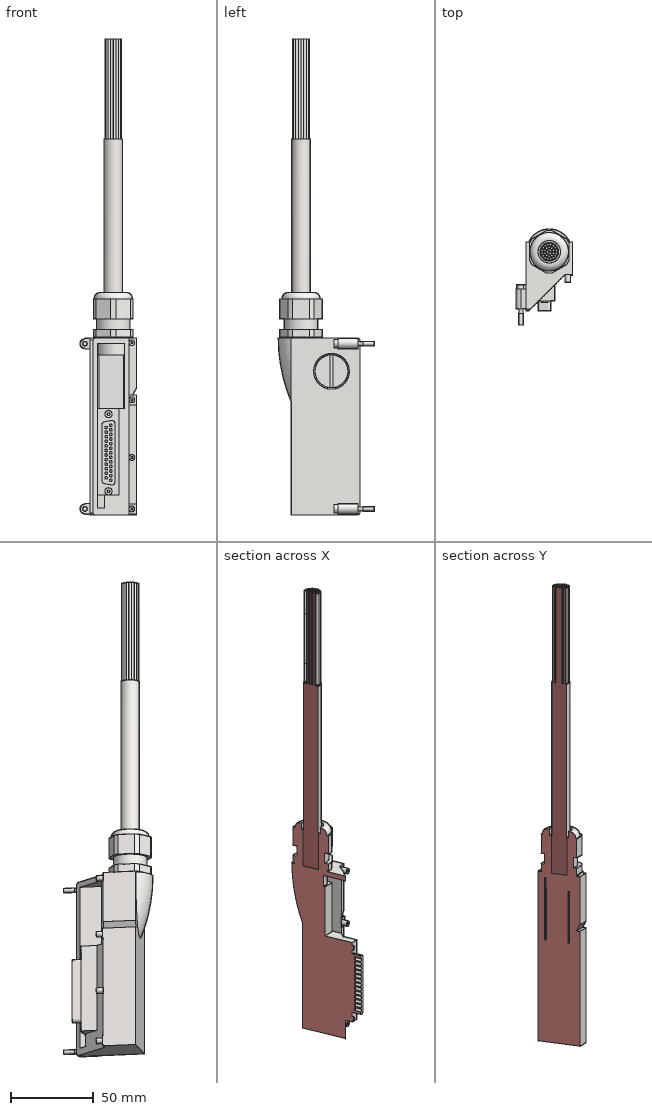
import cadquery as cq
import math


HALF_WIDTH = 14.0
BACK_Y = 6.0
FRONT_Y = -35.8
FRONT_EDGE_WIDTH = 1.7
FRONT_EDGE_CHAMFER = 1.2
FLANGE_WIDTH = 4.5
HOUSING_HEIGHT = 107.4
SLOPE_LEFT_X = -HALF_WIDTH + FRONT_EDGE_WIDTH
SLOPE_RIGHT_X = HALF_WIDTH - FLANGE_WIDTH
FLANGE_Y = FRONT_Y + (SLOPE_RIGHT_X - SLOPE_LEFT_X)

BULGE_RADIUS = 13.9
BULGE_BEND = 98.0
BULGE_DROP = 43.3

WINDOW_LEFT_X = -9.5
WINDOW_RIGHT_X = 7.0
WINDOW_BOTTOM = 64.5
WINDOW_TOP = 104.0
WINDOW_FLOOR_Y = -1.5
PANEL_MARGIN = 1.0
PANEL_TOP = 97.0
PANEL_FRONT_Y = -10.5
SPIGOT_DIAMETER = 18.5
RECESS_BOTTOM = 12.0
TAIL_BOTTOM = 4.3
TAIL_WIDTH = 4.3

BLOCK_RIGHT_X = 3.5
BLOCK_FRONT_Y = -29.7
SHELL_FRONT_Y = -35.8
SHELL_CENTRE_X = -3.0
SHELL_CENTRE_Z = 37.8
SHELL_WIDTH = 7.8
SHELL_LENGTH = 38.5
SHELL_END_ANGLE = 10.0
SHELL_CORNER = 1.7
CONTACT_DIAMETER = 1.6
CONTACT_DEPTH = 4.3
CONTACT_PITCH = 2.77
CONTACT_ROW_GAP = 2.83
LONG_ROW_COUNT = 13
JACK_DIAMETER = 4.3
JACK_HEIGHT = 1.0
JACK_HOLE_DIAMETER = 1.6
JACK_SPACING = 46.8

SCREW_DIAMETER = 3.5
SCREW_SOCKET_DIAMETER = 1.2
SCREW_TIP_Y = -18.5
SCREW_X = 11.3
PAD_HEIGHTS = (3.8, 69.8)
BARE_HEIGHTS = (35.0, 104.5)
PAD_SIZE = 6.0
PAD_THICKNESS = 0.5
NOTCH_BOTTOM = max(PAD_HEIGHTS) + PAD_SIZE / 2
NOTCH_HEIGHT = 4.0
NOTCH_WIDTH = 2.3

FIXING_HEIGHTS = (3.8, 104.0)
HEAD_DIAMETER = 5.2
HEAD_BACK_Y = -20.0
HEAD_MOUNT_HEIGHT = 4.3
BARREL_SIDE_X = -20.2
BARREL_DIAMETER = 6.0
FIXING_X = BARREL_SIDE_X + BARREL_DIAMETER / 2
BARREL_BACK_Y = -22.5
BARREL_FRONT_Y = -34.5
BARREL_MOUNT_HEIGHT = 6.5
NECK_DIAMETER = 2.5
NECK_LENGTH = 3.0
PIN_DIAMETER = 3.0
PIN_TIP_Y = -44.5

PLUG_Y = -18.5
PLUG_Z = 87.2
PLUG_DIAMETER = 20.0
PLUG_RIM_DIAMETER = 21.5
PLUG_DEPTH = 1.5
PLUG_SLOT_WIDTH = 1.7
PLUG_SLOT_DEPTH = 1.5

HEX_FLATS = 24.0
HEX_ROUND_DIAMETER = 26.0
COLLAR_DIAMETER = 24.0
LOCK_NUT_BOTTOM = 108.0
LOCK_NUT_TOP = 112.5
NECK_OUTER_DIAMETER = 20.5
CAP_NUT_BOTTOM = 119.0
CAP_NUT_TOP = 131.0
DOME_TOP = 135.0
DOME_DIAMETER = 23.5
GLAND_MOUTH_DIAMETER = 13.5

CABLE_DIAMETER = 11.3
JACKET_TOP = 228.0
CABLE_TOP = 288.5
STRAND_DIAMETER = 1.6
STRAND_PITCH = 1.67
STRAND_BUNDLE_DIAMETER = 10.5


def box(x_range, y_range, z_range):
    """A box from its limits along the three axes."""
    sizes = [high - low for low, high in (x_range, y_range, z_range)]
    corner = (x_range[0], y_range[0], z_range[0])
    return cq.Workplane("XY").box(*sizes, centered=False).translate(corner)


def upright_cylinder(diameter, bottom, top):
    """A cylinder on the cable axis."""
    return cq.Workplane("XY").workplane(offset=bottom).circle(diameter / 2).extrude(top - bottom)


def front_cylinder(diameter, x, z, back_y, front_y):
    """A cylinder along Y, from back_y forward to front_y."""
    plane = cq.Workplane("XZ", origin=(x, back_y, z))
    return plane.circle(diameter / 2).extrude(back_y - front_y)


def housing_shell():
    outline = [
        (-HALF_WIDTH, BACK_Y),
        (HALF_WIDTH, BACK_Y),
        (HALF_WIDTH, FLANGE_Y),
        (SLOPE_RIGHT_X, FLANGE_Y),
        (SLOPE_LEFT_X, FRONT_Y),
        (-HALF_WIDTH, FRONT_Y),
    ]
    block = cq.Workplane("XY").polyline(outline).close().extrude(HOUSING_HEIGHT)
    return block.faces("<Y").edges("|X").chamfer(FRONT_EDGE_CHAMFER)


def cable_bulge():
    """A round duct that bends forward into the back of the housing."""
    bend_y = BULGE_RADIUS - BULGE_BEND
    sweep_angle = math.degrees(math.asin(BULGE_DROP / BULGE_BEND))
    duct = (
        cq.Workplane("XY", origin=(0, 0, HOUSING_HEIGHT))
        .circle(BULGE_RADIUS)
        .revolve(sweep_angle, (0, bend_y, 0), (-1, bend_y, 0))
    )
    outside = box((-HALF_WIDTH, HALF_WIDTH), (0, BULGE_RADIUS), (0, HOUSING_HEIGHT))
    return duct.intersect(outside)


def front_openings():
    """The deep window above the connector and the shallow recess around it."""
    window = box(
        (WINDOW_LEFT_X, WINDOW_RIGHT_X), (FRONT_Y, WINDOW_FLOOR_Y), (WINDOW_BOTTOM, WINDOW_TOP)
    )
    recess = box((WINDOW_LEFT_X, BLOCK_RIGHT_X), (FRONT_Y, BLOCK_FRONT_Y), (RECESS_BOTTOM, WINDOW_BOTTOM))
    tail_right_x = WINDOW_LEFT_X + TAIL_WIDTH
    tail_floor_y = FRONT_Y + (tail_right_x - SLOPE_LEFT_X)
    tail = box((WINDOW_LEFT_X, tail_right_x), (FRONT_Y, tail_floor_y), (TAIL_BOTTOM, RECESS_BOTTOM))
    return window.union(recess).union(tail)


def window_contents():
    """The gland spigot and the panel below it, both inside the window."""
    spigot = upright_cylinder(SPIGOT_DIAMETER, PANEL_TOP, WINDOW_TOP)
    panel = box(
        (WINDOW_LEFT_X + PANEL_MARGIN, WINDOW_RIGHT_X - PANEL_MARGIN),
        (PANEL_FRONT_Y, WINDOW_FLOOR_Y),
        (WINDOW_BOTTOM, PANEL_TOP),
    )
    return spigot.union(panel)


def connector_shell():
    """A D-shaped shell, longer on its +X side."""
    half_width = SHELL_WIDTH / 2
    end_shift = half_width * math.tan(math.radians(SHELL_END_ANGLE))
    long_half = SHELL_LENGTH / 2 + end_shift
    short_half = SHELL_LENGTH / 2 - end_shift
    outline = [
        (half_width, long_half),
        (half_width, -long_half),
        (-half_width, -short_half),
        (-half_width, short_half),
    ]
    plane = cq.Workplane("XZ", origin=(SHELL_CENTRE_X, BLOCK_FRONT_Y, SHELL_CENTRE_Z))
    shell = plane.polyline(outline).close().extrude(BLOCK_FRONT_Y - SHELL_FRONT_Y)
    return shell.edges("|Y").fillet(SHELL_CORNER)


def contact_holes():
    """Two staggered rows of holes, the longer row on the +X side."""
    rows = ((CONTACT_ROW_GAP / 2, LONG_ROW_COUNT), (-CONTACT_ROW_GAP / 2, LONG_ROW_COUNT - 1))
    points = []
    for row_x, count in rows:
        points += [(row_x, (i - (count - 1) / 2) * CONTACT_PITCH) for i in range(count)]
    return (
        cq.Workplane("XZ", origin=(SHELL_CENTRE_X, SHELL_FRONT_Y, SHELL_CENTRE_Z))
        .pushPoints(points)
        .circle(CONTACT_DIAMETER / 2)
        .extrude(-CONTACT_DEPTH)
    )


def jack_screw(z):
    front_y = BLOCK_FRONT_Y - JACK_HEIGHT
    head = front_cylinder(JACK_DIAMETER, SHELL_CENTRE_X, z, BLOCK_FRONT_Y, front_y)
    hole = front_cylinder(JACK_HOLE_DIAMETER, SHELL_CENTRE_X, z, BLOCK_FRONT_Y, front_y)
    return head.cut(hole)


def connector():
    block = box((WINDOW_LEFT_X, BLOCK_RIGHT_X), (BLOCK_FRONT_Y, FLANGE_Y), (RECESS_BOTTOM, WINDOW_BOTTOM))
    body = block.union(connector_shell()).cut(contact_holes())
    for side in (-1, 1):
        body = body.union(jack_screw(SHELL_CENTRE_Z + side * JACK_SPACING / 2))
    return body


def flange_screws():
    """Four cover screws on the flange, two of them on raised pads."""
    screws = cq.Workplane("XY")
    for z in PAD_HEIGHTS + BARE_HEIGHTS:
        screw = front_cylinder(SCREW_DIAMETER, SCREW_X, z, FLANGE_Y, SCREW_TIP_Y)
        socket = front_cylinder(SCREW_SOCKET_DIAMETER, SCREW_X, z, FLANGE_Y, SCREW_TIP_Y)
        screws = screws.add(screw.cut(socket))
    for z in PAD_HEIGHTS:
        pad = box(
            (SLOPE_RIGHT_X, HALF_WIDTH),
            (FLANGE_Y - PAD_THICKNESS, FLANGE_Y),
            (z - PAD_SIZE / 2, z + PAD_SIZE / 2),
        )
        screws = screws.add(pad)
    return screws.combine()


def flange_notch():
    """A triangular notch in the +X edge of the flange."""
    outline = [
        (HALF_WIDTH - NOTCH_WIDTH, NOTCH_BOTTOM),
        (HALF_WIDTH, NOTCH_BOTTOM),
        (HALF_WIDTH, NOTCH_BOTTOM + NOTCH_HEIGHT),
    ]
    plane = cq.Workplane("XZ", origin=(0, BACK_Y, 0))
    return plane.polyline(outline).close().extrude(BACK_Y - FLANGE_Y)


def mounted_cylinder(diameter, mount_height, z, back_y, front_y):
    """A cylinder along Y, joined to the -X side of the housing by a block."""
    mount = box(
        (FIXING_X, -HALF_WIDTH), (front_y, back_y), (z - mount_height / 2, z + mount_height / 2)
    )
    return front_cylinder(diameter, FIXING_X, z, back_y, front_y).union(mount)


def fixing_screw(z):
    """A head and a barrel on the side of the housing, with a necked pin out of the front."""
    head = mounted_cylinder(HEAD_DIAMETER, HEAD_MOUNT_HEIGHT, z, HEAD_BACK_Y, BARREL_BACK_Y)
    barrel = mounted_cylinder(BARREL_DIAMETER, BARREL_MOUNT_HEIGHT, z, BARREL_BACK_Y, BARREL_FRONT_Y)
    neck_front_y = BARREL_FRONT_Y - NECK_LENGTH
    neck = front_cylinder(NECK_DIAMETER, FIXING_X, z, BARREL_FRONT_Y, neck_front_y)
    pin = front_cylinder(PIN_DIAMETER, FIXING_X, z, neck_front_y, PIN_TIP_Y)
    return head.union(barrel).union(neck).union(pin)


def plug_recess():
    """A shallow countersunk recess with a screwdriver slot in its floor."""
    side = cq.Workplane("YZ", origin=(-HALF_WIDTH, PLUG_Y, PLUG_Z))
    rim = (
        side.circle(PLUG_RIM_DIAMETER / 2)
        .workplane(offset=PLUG_DEPTH)
        .circle(PLUG_DIAMETER / 2)
        .loft()
    )
    slot = side.rect(PLUG_SLOT_WIDTH, PLUG_DIAMETER).extrude(PLUG_DEPTH + PLUG_SLOT_DEPTH)
    round_end = side.circle(PLUG_DIAMETER / 2).extrude(PLUG_DEPTH + PLUG_SLOT_DEPTH)
    return rim.union(slot.intersect(round_end))


def hexagon(bottom, top):
    """A hexagon with rounded corners, two of its flats facing -X and +X."""
    corner_diameter = HEX_FLATS / math.cos(math.pi / 6)
    prism = (
        cq.Workplane("XY").workplane(offset=bottom)
        .transformed(rotate=(0, 0, 30))
        .polygon(6, corner_diameter)
        .extrude(top - bottom)
    )
    return prism.intersect(upright_cylinder(HEX_ROUND_DIAMETER, bottom, top))


def gland_dome():
    """A dome whose edge is rounded over its full height."""
    radius = DOME_DIAMETER / 2
    edge_radius = DOME_TOP - CAP_NUT_TOP
    return (
        cq.Workplane("XZ")
        .moveTo(0, CAP_NUT_TOP)
        .lineTo(radius, CAP_NUT_TOP)
        .radiusArc((radius - edge_radius, DOME_TOP), -edge_radius)
        .lineTo(0, DOME_TOP)
        .close()
        .revolve(360, (0, 0, 0), (0, 1, 0))
    )


def gland():
    """Collar, lock nut, neck, cap nut and dome, bored through for the cable."""
    collar = upright_cylinder(COLLAR_DIAMETER, HOUSING_HEIGHT, LOCK_NUT_BOTTOM)
    lock_nut = hexagon(LOCK_NUT_BOTTOM, LOCK_NUT_TOP)
    neck = upright_cylinder(NECK_OUTER_DIAMETER, LOCK_NUT_TOP, CAP_NUT_BOTTOM)
    cap_nut = hexagon(CAP_NUT_BOTTOM, CAP_NUT_TOP)
    body = collar.union(lock_nut).union(neck).union(cap_nut).union(gland_dome())
    body = body.cut(upright_cylinder(CABLE_DIAMETER, HOUSING_HEIGHT, DOME_TOP))
    return body.cut(upright_cylinder(GLAND_MOUTH_DIAMETER, CAP_NUT_TOP, DOME_TOP))


def make_connector_housing():
    body = housing_shell().union(cable_bulge()).cut(front_openings()).union(window_contents())
    body = body.union(connector()).union(flange_screws()).cut(flange_notch())
    for z in FIXING_HEIGHTS:
        body = body.union(fixing_screw(z))
    return body.cut(plug_recess()).union(gland())


def make_cable():
    """The jacket, with concentric rings of bare strands standing out of its top."""
    cable = upright_cylinder(CABLE_DIAMETER, HOUSING_HEIGHT, JACKET_TOP)
    ring_radius = (STRAND_BUNDLE_DIAMETER - STRAND_DIAMETER) / 2
    points = []
    while ring_radius > STRAND_PITCH / 2:
        count = math.floor(math.pi / math.asin(STRAND_PITCH / (2 * ring_radius)))
        for i in range(count):
            angle = 2 * math.pi * (i + 0.5) / count
            points.append((ring_radius * math.cos(angle), ring_radius * math.sin(angle)))
        ring_radius -= STRAND_PITCH
    strands = (
        cq.Workplane("XY").workplane(offset=JACKET_TOP)
        .pushPoints(points)
        .circle(STRAND_DIAMETER / 2)
        .extrude(CABLE_TOP - JACKET_TOP)
    )
    return cable.union(strands)


connector_housing = make_connector_housing()
cable = make_cable()
result = cq.Compound.makeCompound([connector_housing.val(), cable.val()])